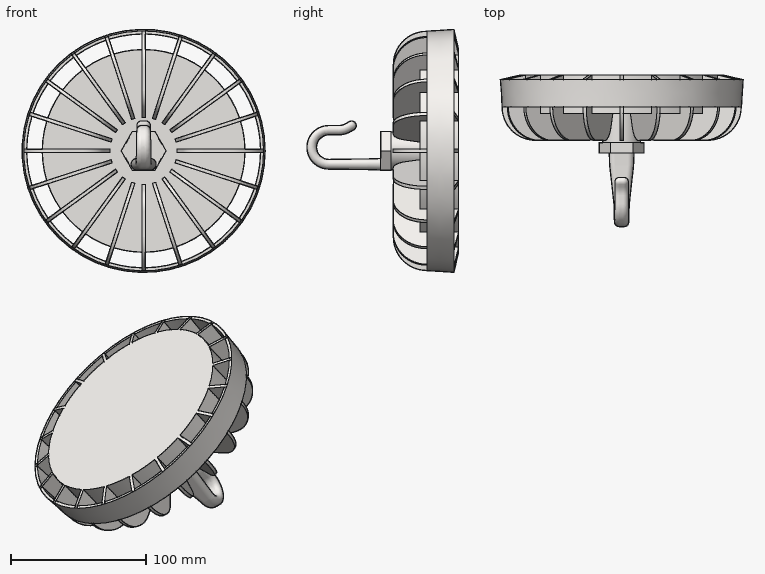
import cadquery as cq
import math


disc_diameter = 150.0
disc_depth = 28.5
post_diameter = 28.0
post_end_depth = 50.0

ring_back_radius = 90.0
ring_front_radius = 88.7
ring_wall = 2.3
ring_back_depth = 3.5
ring_front_depth = 23.5

fin_count = 20
fin_thickness = 2.5
fin_inset = 0.2
fin_front_depth = 48.4
fin_inner_radius = 24.8
fin_inner_slope = 0.45
fin_inner_round = 16.2
fin_outer_round = fin_front_depth - ring_front_depth

nut_corner_diameter = 33.3
nut_thickness = 7.7
nut_front_depth = post_end_depth + nut_thickness

hook_end_depth = 112.3
shank_base_width = 18.5
shank_base_height = 8.6
knee_width = 17.8
knee_height = 8.1
knee_depth = 67.1
bend_width = 11.3
bend_height = 7.4
arm_width = 10.0
arm_height = 7.0
shank_z = -9.9
arm_z = 15.3
arm_start_depth = 88.9
lip_angle = 30.0
lip_bend_radius = 14.4
lip_length = 2.9

bend_radius = (arm_z - shank_z) / 2
bend_depth = hook_end_depth - (bend_height + arm_height) / 4 - bend_radius


def plane_at(depth, z=0.0):
    """Workplane across the axis at a depth, facing -Y."""
    return cq.Workplane("XZ", origin=(0, -depth, z))


def make_ring():
    """Tapered ring of constant wall thickness."""
    profile = [
        (ring_back_radius, -ring_back_depth),
        (ring_front_radius, -ring_front_depth),
        (ring_front_radius - ring_wall, -ring_front_depth),
        (ring_back_radius - ring_wall, -ring_back_depth),
    ]
    return cq.Workplane("XY").polyline(profile).close().revolve(360, (0, 0), (0, 1))


def make_fin():
    """One radial fin along +X, from the back of the disc to the rounded front."""
    front_edge = ring_front_radius - fin_inset
    back_edge = ring_back_radius - fin_inset
    round_center = front_edge - fin_outer_round
    round_middle = fin_outer_round * math.sin(math.radians(45))
    inner_front = fin_inner_radius + fin_inner_slope * (fin_front_depth - disc_depth)
    fin = (
        cq.Workplane("XY")
        .moveTo(fin_inner_radius, 0)
        .lineTo(fin_inner_radius, -disc_depth)
        .lineTo(inner_front, -fin_front_depth)
        .lineTo(round_center, -fin_front_depth)
        .threePointArc(
            (round_center + round_middle, -ring_front_depth - round_middle),
            (front_edge, -ring_front_depth),
        )
        .lineTo(back_edge, -ring_back_depth)
        .lineTo(disc_diameter / 2, 0)
        .close()
        .extrude(fin_thickness / 2, both=True)
    )
    inner_corner = cq.selectors.NearestToPointSelector((inner_front, -fin_front_depth, 0))
    return fin.edges("|Z").edges(inner_corner).fillet(fin_inner_round)


def make_heat_sink():
    """Disc, post, fins and ring in one piece."""
    body = plane_at(0).circle(disc_diameter / 2).extrude(disc_depth)
    body = body.union(plane_at(0).circle(post_diameter / 2).extrude(post_end_depth))
    body = body.union(make_ring())
    fin = make_fin()
    for i in range(fin_count):
        body = body.union(fin.rotate((0, 0, 0), (0, 1, 0), i * 360 / fin_count))
    return body


def make_nut():
    """Hex nut on the end of the post, two corners along X."""
    return plane_at(post_end_depth).polygon(6, nut_corner_diameter).extrude(nut_thickness)


def make_taper(start_depth, start_size, end_depth, end_size):
    """Straight shank piece between two slot sections."""
    return (
        plane_at(start_depth, shank_z)
        .slot2D(*start_size)
        .workplane(offset=end_depth - start_depth)
        .slot2D(*end_size)
        .loft(ruled=True)
    )


def make_bend():
    """Half-turn from the shank up to the free arm, narrowing on the way."""
    path = (
        cq.Workplane("YZ")
        .moveTo(-bend_depth, shank_z)
        .threePointArc((-bend_depth - bend_radius, shank_z + bend_radius), (-bend_depth, arm_z))
    )
    return (
        plane_at(bend_depth, shank_z)
        .slot2D(bend_width, bend_height)
        .workplane(origin=(0, -bend_depth, arm_z))
        .slot2D(arm_width, arm_height)
        .sweep(path, multisection=True)
    )


def make_free_arm():
    """Straight arm that turns up into a short lip with a fully rounded tip."""
    angle = math.radians(lip_angle)
    lip_y = -arm_start_depth + lip_bend_radius * math.sin(angle)
    lip_z = arm_z + lip_bend_radius * (1 - math.cos(angle))
    half = angle / 2
    tip_y = lip_y + lip_length * math.cos(angle)
    tip_z = lip_z + lip_length * math.sin(angle)
    path = (
        cq.Workplane("YZ")
        .moveTo(-bend_depth, arm_z)
        .lineTo(-arm_start_depth, arm_z)
        .threePointArc(
            (
                -arm_start_depth + lip_bend_radius * math.sin(half),
                arm_z + lip_bend_radius * (1 - math.cos(half)),
            ),
            (lip_y, lip_z),
        )
        .lineTo(tip_y, tip_z)
    )
    arm = plane_at(bend_depth, arm_z).slot2D(arm_width, arm_height).sweep(path)
    tip_radius = arm_height / 2
    tip_reach = arm_width / 2 - tip_radius
    end_plane = cq.Plane(
        origin=(0, tip_y, tip_z),
        xDir=(1, 0, 0),
        normal=(0, math.cos(angle), math.sin(angle)),
    )
    tip = (
        cq.Workplane(end_plane)
        .moveTo(-arm_width / 2, 0)
        .radiusArc((-tip_reach, tip_radius), tip_radius)
        .lineTo(tip_reach, tip_radius)
        .radiusArc((arm_width / 2, 0), tip_radius)
        .close()
        .revolve(180, (0, 0), (1, 0))
    )
    return arm.union(tip)


def make_hook():
    """Stub, tapered shank, bend and free arm in one piece, standing on the nut."""
    base = (shank_base_width, shank_base_height)
    knee = (knee_width, knee_height)
    bend = (bend_width, bend_height)
    hook = make_taper(nut_front_depth, base, knee_depth, knee)
    hook = hook.union(make_taper(knee_depth, knee, bend_depth, bend))
    hook = hook.union(make_bend())
    return hook.union(make_free_arm())


heat_sink = make_heat_sink().solids()
nut = make_nut()
hook = make_hook().solids()
result = cq.Compound.makeCompound([heat_sink.val(), nut.val(), hook.val()])